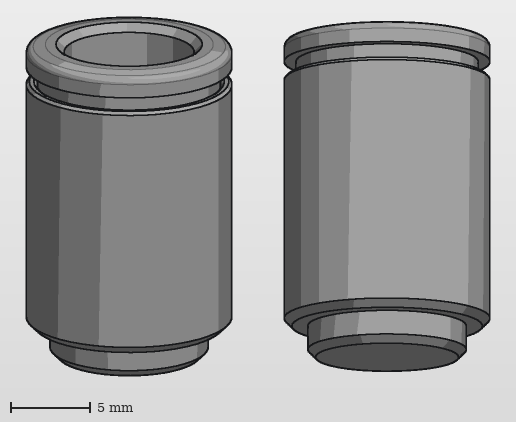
import cadquery as cq
import math

TOTAL_HEIGHT = 20.5
OUTER_RADIUS = 13.0 / 2

SPIGOT_RADIUS = 10.0 / 2
BODY_BOTTOM = 2.0
BODY_TOP = 18.05
BOTTOM_CHAMFER = 0.5
RIM_CHAMFER = 0.2

HOLE_RADIUS = 8.1 / 2
HOLE_FLOOR = 3.5
DRILL_POINT_ANGLE = 135.0
DRILL_POINT_DEPTH = HOLE_RADIUS / math.tan(math.radians(DRILL_POINT_ANGLE / 2))

RECESS_RADIUS = 11.6 / 2
RECESS_DEPTH = 5.0
RECESS_FLOOR = BODY_TOP - RECESS_DEPTH

NECK_RADIUS = 11.5 / 2
BORE_RADIUS = 8.2 / 2
MOUTH_CHAMFER = 0.51
FLANGE_BOTTOM = 19.0
FLANGE_ROUND_START = 19.88
TOP_FACE_RADIUS = 10.6 / 2
SLOPE_OUTER_RADIUS = 12.14 / 2
SLOPE_DROP = 0.15


def revolve_profile(profile):
    """Turn a closed radius-height profile about the Z axis."""
    return profile.close().revolve(360, (0, 0, 0), (0, 1, 0))


def make_housing():
    profile = (
        cq.Workplane("XZ")
        .moveTo(0, 0)
        .lineTo(SPIGOT_RADIUS - BOTTOM_CHAMFER, 0)
        .lineTo(SPIGOT_RADIUS, BOTTOM_CHAMFER)
        .lineTo(SPIGOT_RADIUS, BODY_BOTTOM)
        .lineTo(OUTER_RADIUS - BOTTOM_CHAMFER, BODY_BOTTOM)
        .lineTo(OUTER_RADIUS, BODY_BOTTOM + BOTTOM_CHAMFER)
        .lineTo(OUTER_RADIUS, BODY_TOP - RIM_CHAMFER)
        .lineTo(OUTER_RADIUS - RIM_CHAMFER, BODY_TOP)
        .lineTo(RECESS_RADIUS + RIM_CHAMFER, BODY_TOP)
        .lineTo(RECESS_RADIUS, BODY_TOP - RIM_CHAMFER)
        .lineTo(RECESS_RADIUS, RECESS_FLOOR)
        .lineTo(HOLE_RADIUS, RECESS_FLOOR)
        .lineTo(HOLE_RADIUS, HOLE_FLOOR)
        .lineTo(0, HOLE_FLOOR - DRILL_POINT_DEPTH)
    )
    return revolve_profile(profile)


def make_collar():
    slope_end = (SLOPE_OUTER_RADIUS, TOTAL_HEIGHT - SLOPE_DROP)
    profile = (
        cq.Workplane("XZ")
        .moveTo(BORE_RADIUS, RECESS_FLOOR)
        .lineTo(NECK_RADIUS, RECESS_FLOOR)
        .lineTo(NECK_RADIUS, FLANGE_BOTTOM)
        .lineTo(OUTER_RADIUS, FLANGE_BOTTOM)
        .lineTo(OUTER_RADIUS, FLANGE_ROUND_START)
        .tangentArcPoint(slope_end, relative=False)
        .lineTo(TOP_FACE_RADIUS, TOTAL_HEIGHT)
        .lineTo(BORE_RADIUS + MOUTH_CHAMFER, TOTAL_HEIGHT)
        .lineTo(BORE_RADIUS, TOTAL_HEIGHT - MOUTH_CHAMFER)
    )
    return revolve_profile(profile)


housing = make_housing()
collar = make_collar()

result = cq.Compound.makeCompound([housing.val(), collar.val()])